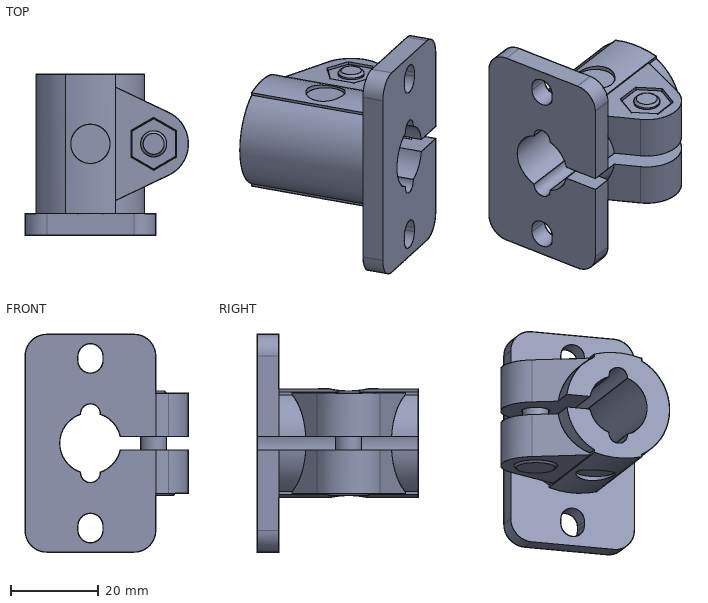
import cadquery as cq
import math

flange_width = 30
flange_thickness = 5
flange_height = 50
flange_corner_radius = 5
slot_width = 5.7
slot_length = 6.7
slot_offset = 19.45

sleeve_length = 37
sleeve_radius = 12.5
bore_radius = 7
groove_radius = 2.25
groove_reach = 9
split_width = 3
middle_y = (flange_thickness + sleeve_length) / 2

pad_half_width = 5.75
pad_edge_height = 11.7

pad_pocket_diameter = 9
pad_pocket_floor = 11.5

ear_height = 11.5
ear_radius = 8
ear_root_half_length = 13
bolt_x = 14.5

bolt_diameter = 6
bolt_hole_diameter = 6.5
bolt_reach = 12
bolt_chamfer = 0.6
head_diameter = 10
head_chamfer = 0.5
head_depth = 5
nut_across_flats = 10
nut_pocket_across_flats = 10.5
nut_top = 11
nut_depth = 5


def cylinder_z(x, diameter, bottom, top):
    """Vertical cylinder at the middle of the sleeve length."""
    return cq.Workplane("XY", origin=(x, middle_y, bottom)).circle(diameter / 2).extrude(top - bottom)


def hexagon_z(across_flats, bottom, top):
    """Hexagonal prism on the bolt axis, with two flats facing along X."""
    corner_diameter = across_flats / math.cos(math.pi / 6)
    prism = cq.Workplane("XY").polygon(6, corner_diameter).extrude(top - bottom)
    return prism.rotate((0, 0, 0), (0, 0, 1), 30).translate((bolt_x, middle_y, bottom))


def plane_at_y(y):
    """Workplane at the given Y, facing -Y, with local axes along X and Z."""
    return cq.Workplane("XZ", origin=(0, y, 0))


def make_flange():
    flange = plane_at_y(flange_thickness).rect(flange_width, flange_height).extrude(flange_thickness)
    flange = flange.edges("|Y").fillet(flange_corner_radius)
    slots = (
        plane_at_y(flange_thickness)
        .pushPoints([(0, -slot_offset), (0, slot_offset)])
        .slot2D(slot_length, slot_width, 90)
        .extrude(flange_thickness)
    )
    return flange.cut(slots)


def make_sleeve():
    sleeve = plane_at_y(sleeve_length).circle(sleeve_radius).extrude(sleeve_length)
    pads = (
        plane_at_y(sleeve_length)
        .moveTo(-pad_half_width, -pad_edge_height)
        .threePointArc((0, -sleeve_radius), (pad_half_width, -pad_edge_height))
        .lineTo(pad_half_width, pad_edge_height)
        .threePointArc((0, sleeve_radius), (-pad_half_width, pad_edge_height))
        .close()
        .extrude(sleeve_length)
    )
    return sleeve.union(pads)


def make_ears():
    """Plate from the sleeve axis to the bolt, with sides tangent to the rounded tip."""
    root_to_bolt = bolt_x - pad_half_width
    side_angle = math.asin(ear_radius / math.hypot(root_to_bolt, ear_root_half_length))
    side_angle = math.atan2(ear_root_half_length, root_to_bolt) - side_angle
    tangent_x = bolt_x + ear_radius * math.sin(side_angle)
    tangent_half_length = ear_radius * math.cos(side_angle)
    return (
        cq.Workplane("XY", origin=(0, middle_y, -ear_height))
        .moveTo(0, -ear_root_half_length)
        .lineTo(pad_half_width, -ear_root_half_length)
        .lineTo(tangent_x, -tangent_half_length)
        .threePointArc((bolt_x + ear_radius, 0), (tangent_x, tangent_half_length))
        .lineTo(pad_half_width, ear_root_half_length)
        .lineTo(0, ear_root_half_length)
        .close()
        .extrude(2 * ear_height)
    )


def make_bore():
    """Bore with a round groove above and below and the split toward +X."""
    bore = plane_at_y(sleeve_length).circle(bore_radius).extrude(sleeve_length)
    grooves = plane_at_y(sleeve_length).slot2D(2 * groove_reach, 2 * groove_radius, 90).extrude(sleeve_length)
    split_length = bolt_x + ear_radius
    split = cq.Workplane("XY").box(split_length, sleeve_length, split_width, centered=(False, False, True))
    return bore.union(grooves).union(split)


def make_pad_pockets():
    upper = cylinder_z(0, pad_pocket_diameter, pad_pocket_floor, sleeve_radius)
    lower = cylinder_z(0, pad_pocket_diameter, -sleeve_radius, -pad_pocket_floor)
    return upper.union(lower)


def make_bolt_clearance():
    hole = cylinder_z(bolt_x, bolt_hole_diameter, -ear_height, ear_height)
    nut_pocket = hexagon_z(nut_pocket_across_flats, ear_height - nut_depth, ear_height)
    return hole.union(nut_pocket)


def make_bolt():
    shank = cylinder_z(bolt_x, bolt_diameter, -bolt_reach, bolt_reach).faces(">Z").chamfer(bolt_chamfer)
    head = cylinder_z(bolt_x, head_diameter, -bolt_reach, head_depth - bolt_reach)
    head = head.faces("<Z").chamfer(head_chamfer)
    nut = hexagon_z(nut_across_flats, ear_height - nut_depth, nut_top)
    return shank.union(head).union(nut)


clamp = make_flange().union(make_sleeve()).union(make_ears())
clamp = clamp.cut(make_bore()).cut(make_pad_pockets()).cut(make_bolt_clearance())
result = clamp.union(make_bolt())